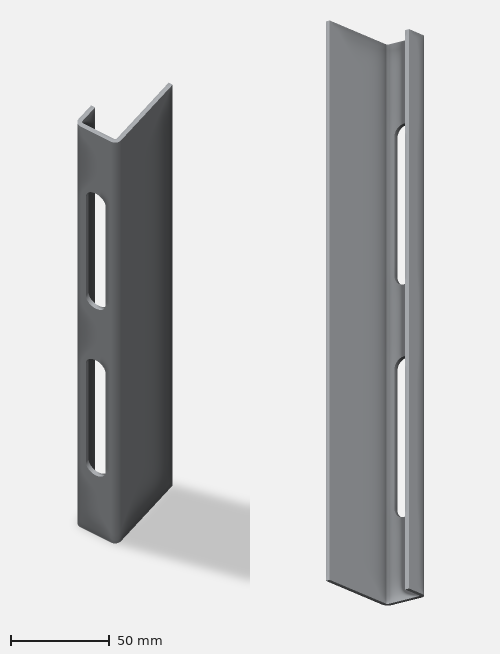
import cadquery as cq

length = 300.0
width = 26.0
long_flange = 50.0
short_flange = 15.0

thickness = 2.5
inner_bend = 1.2
outer_bend = inner_bend + thickness

slot_width = 12.0
slot_length = 86.0
slot_spacing = 124.8

half_width = width / 2
half_depth = long_flange / 2
web_face = -half_depth


def block(x_min, x_max, y_min, y_max):
    """Full-length block between the given X and Y limits, centred on Z."""
    return (
        cq.Workplane("XY")
        .box(x_max - x_min, y_max - y_min, length)
        .translate(((x_min + x_max) / 2, (y_min + y_max) / 2, 0))
    )


def rounded_block(inset, radius):
    """Block moved in from the outer faces, with rounded front edges."""
    x_limit = half_width - inset
    return block(-x_limit, x_limit, web_face + inset, half_depth).edges("|Z and <Y").fillet(radius)


def bent_sheet():
    """Web with a long flange at +X and a short flange at -X."""
    channel = rounded_block(0, outer_bend).cut(rounded_block(thickness, inner_bend))
    above_short_flange = block(-half_width, 0, web_face + short_flange, half_depth)
    return channel.cut(above_short_flange)


def web_slots():
    """Two upright round-ended slots through the web."""
    return (
        cq.Workplane("XZ", origin=(0, web_face + thickness, 0))
        .pushPoints([(0, -slot_spacing / 2), (0, slot_spacing / 2)])
        .slot2D(slot_length, slot_width, 90)
        .extrude(thickness)
    )


result = bent_sheet().cut(web_slots())